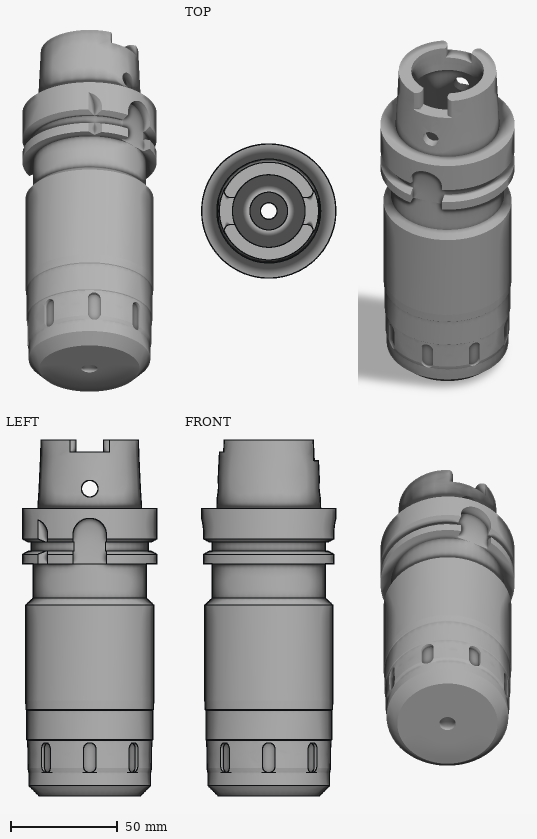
import cadquery as cq
import math

height = 167.0
flange_top = 135.0
flange_bottom = 108.9
groove_top_edge = 120.5
groove_top = 119.0
groove_bottom = 114.9
groove_bottom_edge = 113.4
neck_bottom = 92.9
body_top = 89.5
body_taper_top = 44.8
collar_top = 40.5
nut_top = 26.2
nut_edge_top = 13.0
nut_edge_bottom = 11.0
nose_chamfer_top = 5.0
seam_chamfer = 0.3

shank_top_radius = 22.9
shank_base_radius = 24.4
flange_diameter = 63.0
flange_radius = flange_diameter / 2
groove_radius = 27.5
groove_lip_radius = 28.7
neck_radius = 26.5
body_radius = 30.0
body_end_radius = 29.9
collar_radius = 29.5
nut_radius = 29.2
nut_low_radius = 29.0
nose_radius = 28.5
nose_face_radius = 23.5

mouth_radius = 17.0
mouth_depth = 13.0
undercut_radius = 20.0
cavity_floor = 110.2
pocket_radius = 8.9
pocket_floor = 93.5
coolant_radius = 3.8
cross_hole_radius = 3.8
cross_hole_height = 144.1

drive_half_width = 6.3
drive_flare_radius = 3.0
drive_flare_start = 17.9
drive_depth_left = 5.7
drive_depth_right = 9.7

keyway_half_width = 7.8
keyway_top = 130.3
notch_floor = 20.0
notch_side_y = 19.7
notch_center_y = notch_side_y + keyway_half_width

wrench_slot_count = 8
wrench_slot_width = 5.8
wrench_slot_top = 25.0
wrench_slot_bottom = 11.0
wrench_slot_floor = 27.2


def cylinder(radius, bottom, top):
    return cq.Workplane("XY").workplane(offset=bottom).circle(radius).extrude(top - bottom)


def turned_body():
    profile = [
        (0, 0),
        (nose_face_radius, 0),
        (nose_radius, nose_chamfer_top),
        (nose_radius, nut_edge_bottom),
        (nut_low_radius, nut_edge_top),
        (nut_radius, nut_top),
        (collar_radius, nut_top + seam_chamfer),
        (collar_radius, collar_top - seam_chamfer),
        (body_end_radius, collar_top),
        (body_radius, body_taper_top),
        (body_radius, body_top),
        (neck_radius, neck_bottom),
        (neck_radius, flange_bottom),
        (flange_radius, flange_bottom),
        (flange_radius, groove_bottom_edge),
        (groove_lip_radius, groove_bottom),
        (groove_radius, groove_bottom),
        (groove_radius, groove_top),
        (groove_lip_radius, groove_top),
        (flange_radius, groove_top_edge),
        (flange_radius, flange_top),
        (shank_base_radius, flange_top),
        (shank_top_radius, height),
        (0, height),
    ]
    return cq.Workplane("XZ").polyline(profile).close().revolve(360, (0, 0), (0, 1))


def shank_cavity():
    mouth_bottom = height - mouth_depth
    mouth = cylinder(mouth_radius, mouth_bottom, height)
    undercut = cylinder(undercut_radius, cavity_floor, mouth_bottom)
    pocket = cylinder(pocket_radius, pocket_floor, cavity_floor)
    coolant = cylinder(coolant_radius, 0, pocket_floor)
    return mouth.union(undercut).union(pocket).union(coolant)


def cross_hole():
    hole = cq.Workplane("YZ").center(0, cross_hole_height).circle(cross_hole_radius)
    return hole.extrude(flange_radius, both=True)


def drive_slot(side, depth):
    """Slot through the shank rim on one side (+1 or -1 along X), its mouth rounded outward."""
    mouth_half = drive_half_width + drive_flare_radius
    arc_step = drive_flare_radius * math.sqrt(0.5)
    arc_mid = (drive_flare_start + arc_step, mouth_half - arc_step)
    arc_end_x = drive_flare_start + drive_flare_radius
    slot = (
        cq.Workplane("XY").workplane(offset=height - depth)
        .moveTo(0, -drive_half_width)
        .lineTo(drive_flare_start, -drive_half_width)
        .threePointArc((arc_mid[0], -arc_mid[1]), (arc_end_x, -mouth_half))
        .lineTo(flange_radius, -mouth_half)
        .lineTo(flange_radius, mouth_half)
        .lineTo(arc_end_x, mouth_half)
        .threePointArc(arc_mid, (drive_flare_start, drive_half_width))
        .lineTo(0, drive_half_width)
        .close()
        .extrude(depth)
    )
    return slot if side > 0 else slot.rotate((0, 0, 0), (0, 0, 1), 180)


def flange_slot(side, floor, center_y):
    """Round-topped slot, open at the flange underside, cut along X down to a flat floor."""
    straight_top = keyway_top - keyway_half_width
    return (
        cq.Workplane("YZ").workplane(offset=side * floor)
        .moveTo(center_y - keyway_half_width, flange_bottom)
        .lineTo(center_y - keyway_half_width, straight_top)
        .threePointArc((center_y, keyway_top), (center_y + keyway_half_width, straight_top))
        .lineTo(center_y + keyway_half_width, flange_bottom)
        .close()
        .extrude(side * flange_radius)
    )


def wrench_slot(angle):
    length = wrench_slot_top - wrench_slot_bottom
    slot = (
        cq.Workplane("YZ").workplane(offset=wrench_slot_floor)
        .center(0, (wrench_slot_top + wrench_slot_bottom) / 2)
        .slot2D(length, wrench_slot_width, 90)
        .extrude(flange_radius - wrench_slot_floor)
    )
    return slot.rotate((0, 0, 0), (0, 0, 1), angle)


result = turned_body().cut(shank_cavity()).cut(cross_hole())
result = result.cut(drive_slot(-1, drive_depth_left)).cut(drive_slot(1, drive_depth_right))

for side in (-1, 1):
    result = result.cut(flange_slot(side, neck_radius, 0))
result = result.cut(flange_slot(-1, notch_floor, notch_center_y))

for i in range(wrench_slot_count):
    result = result.cut(wrench_slot(i * 360 / wrench_slot_count))